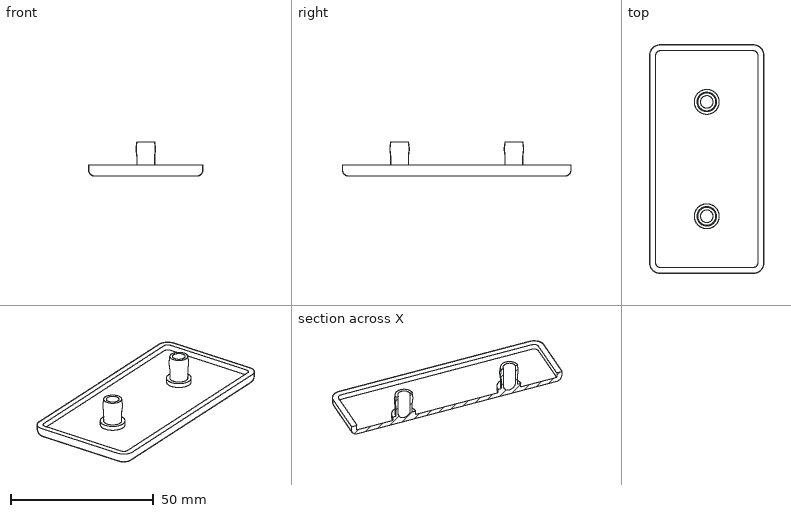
import cadquery as cq

LENGTH_X = 40.0
LENGTH_Y = 80.0
TRAY_HEIGHT = 4.0
CORNER_RADIUS = 3.75
BOTTOM_ROUND = 2.25
WALL = 2.1
FLOOR = 2.0
POCKET_CORNER_RADIUS = CORNER_RADIUS - WALL

TOTAL_HEIGHT = 12.0
PEG_SPACING = LENGTH_Y / 2
COLLAR_DIAMETER = 8.7
COLLAR_HEIGHT = 1.5
STEM_DIAMETER = 6.3
BULGE_DIAMETER = 6.8
BULGE_BAND = 1.0
BULGE_TAPER = 2.0

BORE_DIAMETER = 4.4
BORE_BOTTOM = FLOOR


def make_tray():
    body = (
        cq.Workplane("XY")
        .rect(LENGTH_X, LENGTH_Y)
        .extrude(TRAY_HEIGHT)
        .edges("|Z")
        .fillet(CORNER_RADIUS)
        .faces("<Z")
        .edges()
        .fillet(BOTTOM_ROUND)
    )
    pocket = (
        cq.Workplane("XY")
        .workplane(offset=FLOOR)
        .rect(LENGTH_X - 2 * WALL, LENGTH_Y - 2 * WALL)
        .extrude(TRAY_HEIGHT - FLOOR)
        .edges("|Z")
        .fillet(POCKET_CORNER_RADIUS)
    )
    return body.cut(pocket)


def make_peg():
    """Collar, stem and double-tapered head, revolved about Z."""
    stem_radius = STEM_DIAMETER / 2
    bulge_radius = BULGE_DIAMETER / 2
    collar_radius = COLLAR_DIAMETER / 2
    peg_base = FLOOR / 2
    collar_top = FLOOR + COLLAR_HEIGHT
    band_top = TOTAL_HEIGHT - BULGE_TAPER
    band_bottom = band_top - BULGE_BAND
    stem_top = band_bottom - BULGE_TAPER
    profile = (
        cq.Workplane("XZ")
        .moveTo(0, peg_base)
        .lineTo(collar_radius, peg_base)
        .lineTo(collar_radius, collar_top)
        .lineTo(stem_radius, collar_top)
        .lineTo(stem_radius, stem_top)
        .lineTo(bulge_radius, band_bottom)
        .lineTo(bulge_radius, band_top)
        .lineTo(stem_radius, TOTAL_HEIGHT)
        .lineTo(0, TOTAL_HEIGHT)
        .close()
    )
    return profile.revolve(360, (0, 0, 0), (0, 1, 0))


def make_bore():
    """Cylinder with a hemispherical lower end."""
    radius = BORE_DIAMETER / 2
    sphere_centre = BORE_BOTTOM + radius
    profile = (
        cq.Workplane("XZ")
        .moveTo(0, BORE_BOTTOM)
        .radiusArc((radius, sphere_centre), -radius)
        .lineTo(radius, TOTAL_HEIGHT)
        .lineTo(0, TOTAL_HEIGHT)
        .close()
    )
    return profile.revolve(360, (0, 0, 0), (0, 1, 0))


result = make_tray()
for peg_y in (-PEG_SPACING / 2, PEG_SPACING / 2):
    position = (0, peg_y, 0)
    result = result.union(make_peg().translate(position))
    result = result.cut(make_bore().translate(position))